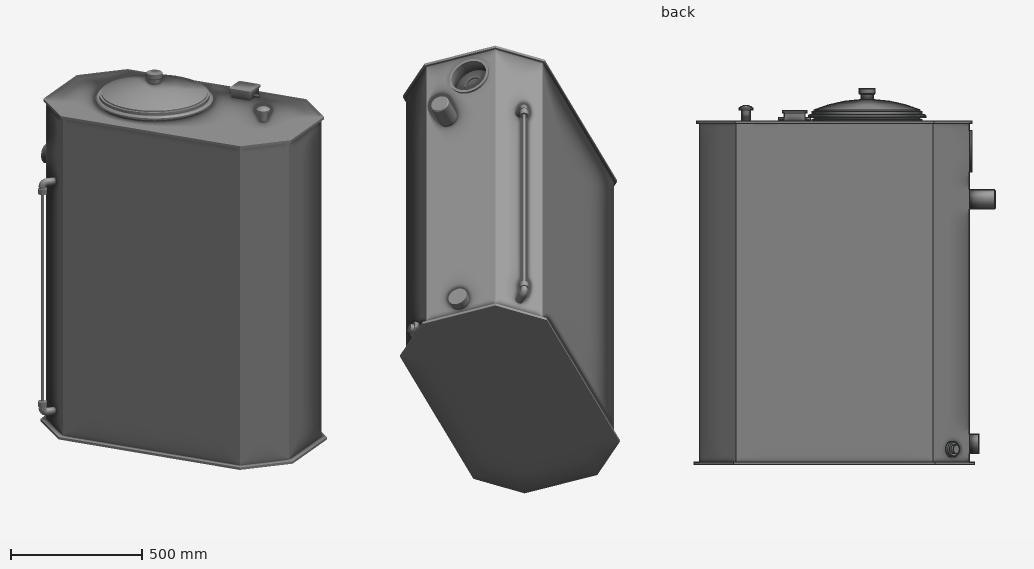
import cadquery as cq
import math

TANK_LENGTH = 1030.0
TANK_WIDTH = 560.0
CORNER_LEG = 139.0
CORNER_FACE_ANGLE = 45
BASE_OVERHANG = 20.0
TOP_OVERHANG = 10.0
PLATE_THICKNESS = 10.0
TANK_HEIGHT = 1312.0
OVERALL_HEIGHT = 1435.0

LID_X = -125.0
LID_RING_DIAMETER = 420.0
LID_FLANGE_HEIGHT = 6.0
LID_NECK_HEIGHT = 13.0
LID_RIM_DIAMETER = 449.0
LID_RIM_THICKNESS = 11.0
LID_RIM_CHAMFER = 6.0
LID_STEP_TOP = 36.0
DOME_DIAMETER = 405.0
DOME_BASE = 42.0
DOME_TOP = 82.0
KNOB_DIAMETER = 60.0
KNOB_UNDERSIDE = 100.0
KNOB_TOP = OVERALL_HEIGHT - TANK_HEIGHT
KNOB_CHAMFER = 5.0
KNOB_NECK_DIAMETER = 47.0

BOX_X = 152.0
BOX_Y = 220.0
BOX_SIDE = 80.0
BOX_COVER_SIDE = 93.0
BOX_COVER_THICKNESS = 9.0
BOX_COVER_CORNER_RADIUS = 7.0
BOX_HEIGHT = 39.0
GLAND_DIAMETER = 12.0
GLAND_SPAN = 123.0
GLAND_Z = 7.0

VENT_X = 337.0
VENT_STEM_DIAMETER = 33.0
VENT_CAP_DIAMETER = 53.0
VENT_CAP_UNDERSIDE = 42.0
VENT_CAP_EDGE = 49.0
VENT_TOP = 59.0

PIPE_DIAMETER = 75.0
INLET_Y = 50.0
INLET_Z = 1012.0
INLET_LENGTH = 99.0
INLET_CHAMFER = 5.0
OUTLET_Z = 79.0
OUTLET_LENGTH = 36.0

PORT_Y = -36.0
PORT_Z = 1195.0
PORT_DIAMETER = 160.0
PORT_BORE = 140.0
PORT_PROTRUSION = 10.0
PORT_BORE_DEPTH = 57.0
PORT_FLOOR = 10.0
PORT_NUT_FLATS = 72.0
PORT_NUT_BORE = 60.0
PORT_NUT_HEIGHT = 6.0
PORT_NUT_TURN = 30

GAUGE_STANDOFF = 49.0
GAUGE_LOW_Z = 77.0
GAUGE_HIGH_Z = 1010.0
GAUGE_TUBE_DIAMETER = 12.0
ELBOW_DIAMETER = 30.0
ELBOW_BEND = 17.0
ELBOW_NECK_DIAMETER = 25.0
COLLAR_DIAMETER = 35.0
COLLAR_START = 25.0
COLLAR_END = 45.0

PLUG_Z = 59.0
PLUG_FLANGE_DIAMETER = 60.0
PLUG_FLANGE_THICKNESS = 16.0
PLUG_FLANGE_CHAMFER = 5.0
PLUG_BOSS_DIAMETER = 35.0
PLUG_LENGTH = 29.0

WALL_X = -TANK_LENGTH / 2
CORNER_FACE_X = -(TANK_LENGTH - CORNER_LEG) / 2
CORNER_FACE_Y = (TANK_WIDTH - CORNER_LEG) / 2


def octagon_plate(overhang, bottom, height):
    """Octagonal prism whose eight sides stand `overhang` outside the tank wall."""
    corner_leg = CORNER_LEG + overhang * (2 - math.sqrt(2))
    block = cq.Workplane("XY", origin=(0, 0, bottom)).rect(
        TANK_LENGTH + 2 * overhang, TANK_WIDTH + 2 * overhang
    )
    return block.extrude(height).edges("|Z").chamfer(corner_leg)


def wall_plane(y, z):
    """Plane on the -X wall, with its normal pointing out of the tank."""
    return cq.Workplane(cq.Plane((WALL_X, y, z), xDir=(0, -1, 0), normal=(-1, 0, 0)))


def make_tank():
    tank = octagon_plate(0, 0, TANK_HEIGHT)
    tank = tank.union(octagon_plate(BASE_OVERHANG, 0, PLATE_THICKNESS))
    top_bottom = TANK_HEIGHT - PLATE_THICKNESS
    tank = tank.union(octagon_plate(TOP_OVERHANG, top_bottom, PLATE_THICKNESS))
    recess_depth = PORT_BORE_DEPTH + PORT_FLOOR - PORT_PROTRUSION
    recess = wall_plane(PORT_Y, PORT_Z).circle(PORT_DIAMETER / 2).extrude(-recess_depth)
    return tank.cut(recess)


def turned_on_top(profile, x):
    """Revolve a half profile about the vertical axis standing on the top plate at x."""
    turned = profile.close().revolve(360, (0, 0, 0), (0, 1, 0))
    return turned.translate((x, 0, TANK_HEIGHT))


def dome_height(base_radius, base, top, radius):
    """Height at `radius` of a spherical dome from `base`, at `base_radius`, to `top` on its axis."""
    rise = top - base
    sphere_radius = (base_radius**2 + rise**2) / (2 * rise)
    return top - sphere_radius + math.sqrt(sphere_radius**2 - radius**2)


def make_lid():
    rim_top = LID_NECK_HEIGHT + LID_RIM_THICKNESS
    rim_radius = LID_RIM_DIAMETER / 2
    ring_radius = LID_RING_DIAMETER / 2
    dome_radius = DOME_DIAMETER / 2
    knob_neck_radius = KNOB_NECK_DIAMETER / 2
    dome_middle_radius = dome_radius / 2
    profile = (
        cq.Workplane("XZ")
        .moveTo(0, 0)
        .lineTo(ring_radius, 0)
        .lineTo(ring_radius, LID_FLANGE_HEIGHT)
        .lineTo(dome_radius, LID_FLANGE_HEIGHT)
        .lineTo(dome_radius, LID_NECK_HEIGHT)
        .lineTo(rim_radius, LID_NECK_HEIGHT)
        .lineTo(rim_radius, rim_top - LID_RIM_CHAMFER)
        .lineTo(rim_radius - LID_RIM_CHAMFER, rim_top)
        .lineTo(ring_radius, rim_top)
        .lineTo(ring_radius, LID_STEP_TOP)
        .lineTo(dome_radius, LID_STEP_TOP)
        .lineTo(dome_radius, DOME_BASE)
        .threePointArc(
            (dome_middle_radius, dome_height(dome_radius, DOME_BASE, DOME_TOP, dome_middle_radius)),
            (knob_neck_radius, dome_height(dome_radius, DOME_BASE, DOME_TOP, knob_neck_radius)),
        )
        .lineTo(knob_neck_radius, KNOB_UNDERSIDE)
        .lineTo(KNOB_DIAMETER / 2 - KNOB_CHAMFER, KNOB_UNDERSIDE)
        .lineTo(KNOB_DIAMETER / 2, KNOB_UNDERSIDE + KNOB_CHAMFER)
        .lineTo(KNOB_DIAMETER / 2, KNOB_TOP)
        .lineTo(0, KNOB_TOP)
    )
    return turned_on_top(profile, LID_X)


def make_vent():
    cap_radius = VENT_CAP_DIAMETER / 2
    cap_middle_radius = cap_radius / 2
    cap_middle_height = dome_height(cap_radius, VENT_CAP_EDGE, VENT_TOP, cap_middle_radius)
    profile = (
        cq.Workplane("XZ")
        .moveTo(0, 0)
        .lineTo(VENT_STEM_DIAMETER / 2, 0)
        .lineTo(VENT_STEM_DIAMETER / 2, VENT_CAP_UNDERSIDE)
        .lineTo(cap_radius, VENT_CAP_UNDERSIDE)
        .lineTo(cap_radius, VENT_CAP_EDGE)
        .threePointArc((cap_middle_radius, cap_middle_height), (0, VENT_TOP))
    )
    return turned_on_top(profile, VENT_X)


def make_junction_box():
    body_height = BOX_HEIGHT - BOX_COVER_THICKNESS
    base = cq.Workplane("XY", origin=(BOX_X, BOX_Y, TANK_HEIGHT))
    body = base.rect(BOX_SIDE, BOX_SIDE).extrude(body_height)
    cover = base.workplane(offset=body_height).rect(BOX_COVER_SIDE, BOX_COVER_SIDE)
    cover = cover.extrude(BOX_COVER_THICKNESS).edges("|Z").fillet(BOX_COVER_CORNER_RADIUS)
    gland_plane = cq.Workplane("YZ", origin=(BOX_X, BOX_Y, TANK_HEIGHT + GLAND_Z))
    glands = gland_plane.circle(GLAND_DIAMETER / 2).extrude(GLAND_SPAN / 2, both=True)
    return body.union(cover).union(glands)


def make_inlet():
    inlet = wall_plane(INLET_Y, INLET_Z).circle(PIPE_DIAMETER / 2).extrude(INLET_LENGTH)
    return inlet.faces("<X").chamfer(INLET_CHAMFER)


def make_outlet():
    return wall_plane(0, OUTLET_Z).circle(PIPE_DIAMETER / 2).extrude(OUTLET_LENGTH)


def make_port():
    face = wall_plane(PORT_Y, PORT_Z).workplane(offset=PORT_PROTRUSION)
    port = face.circle(PORT_DIAMETER / 2).extrude(-PORT_BORE_DEPTH - PORT_FLOOR)
    port = port.cut(face.circle(PORT_BORE / 2).extrude(-PORT_BORE_DEPTH))
    floor = face.workplane(offset=-PORT_BORE_DEPTH)
    nut = floor.polygon(6, PORT_NUT_FLATS, circumscribed=True)
    nut = nut.circle(PORT_NUT_BORE / 2).extrude(PORT_NUT_HEIGHT)
    nut = nut.rotate((0, PORT_Y, PORT_Z), (1, PORT_Y, PORT_Z), PORT_NUT_TURN)
    return port.union(nut)


def make_gauge_fitting():
    """Elbow at the origin: arm along -X from the wall, bend, then neck and collar along +Z."""
    arm_length = GAUGE_STANDOFF - ELBOW_BEND
    arm = cq.Workplane("YZ").circle(ELBOW_DIAMETER / 2).extrude(-arm_length)
    bend = cq.Workplane("YZ", origin=(-arm_length, 0, 0)).circle(ELBOW_DIAMETER / 2)
    bend = bend.revolve(90, (0, ELBOW_BEND, 0), (1, ELBOW_BEND, 0))
    top = cq.Workplane("XY", origin=(-GAUGE_STANDOFF, 0, 0))
    neck = top.workplane(offset=ELBOW_BEND).circle(ELBOW_NECK_DIAMETER / 2)
    neck = neck.extrude(COLLAR_END - ELBOW_BEND)
    collar = top.workplane(offset=COLLAR_START).circle(COLLAR_DIAMETER / 2)
    collar = collar.extrude(COLLAR_END - COLLAR_START)
    return arm.union(bend).union(neck).union(collar)


def make_gauge():
    span = GAUGE_HIGH_Z - GAUGE_LOW_Z
    low = make_gauge_fitting()
    high = low.mirror("XY").translate((0, 0, span))
    tube = cq.Workplane("XY", origin=(-GAUGE_STANDOFF, 0, COLLAR_END))
    tube = tube.circle(GAUGE_TUBE_DIAMETER / 2).extrude(span - 2 * COLLAR_END)
    gauge = low.union(tube).union(high)
    gauge = gauge.rotate((0, 0, 0), (0, 0, 1), CORNER_FACE_ANGLE)
    return gauge.translate((CORNER_FACE_X, -CORNER_FACE_Y, GAUGE_LOW_Z))


def make_drain_plug():
    seat = cq.Plane((CORNER_FACE_X, CORNER_FACE_Y, PLUG_Z), xDir=(1, 1, 0), normal=(-1, 1, 0))
    face = cq.Workplane(seat)
    flange = face.circle(PLUG_FLANGE_DIAMETER / 2).extrude(PLUG_FLANGE_THICKNESS)
    flange = flange.faces(">(-1,1,0)").chamfer(PLUG_FLANGE_CHAMFER)
    boss = face.circle(PLUG_BOSS_DIAMETER / 2).extrude(PLUG_LENGTH)
    return flange.union(boss)


tank = make_tank()
lid = make_lid()
vent = make_vent()
junction_box = make_junction_box()
inlet = make_inlet()
outlet = make_outlet()
port = make_port()
gauge = make_gauge()
drain_plug = make_drain_plug()

result = cq.Compound.makeCompound(
    [
        tank.val(),
        lid.val(),
        vent.val(),
        junction_box.val(),
        inlet.val(),
        outlet.val(),
        port.val(),
        gauge.val(),
        drain_plug.val(),
    ]
)